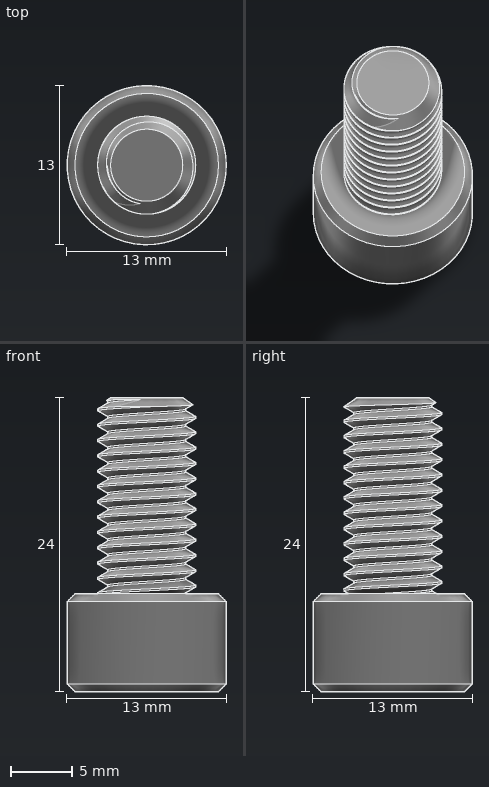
import cadquery as cq
import math

head_diameter = 13.0
head_height = 8.0
head_chamfer = 0.65

thread_diameter = 8.0
thread_pitch = 1.25
shank_length = 16.0

tip_diameter = 5.88
tip_chamfer_height = 0.75

flank_half_angle = math.radians(30)
crest_width = thread_pitch / 8
root_width = thread_pitch / 8
flank_height = (thread_pitch - crest_width - root_width) / 2
thread_depth = flank_height / math.tan(flank_half_angle)

thread_radius = thread_diameter / 2
root_radius = thread_radius - thread_depth
tip_radius = tip_diameter / 2
total_height = head_height + shank_length

cutter_radial_overrun = 0.05
groove_overrun = 2 * thread_pitch
rod_overrun = groove_overrun + thread_pitch


def make_head():
    """Solid cylinder with both rims chamfered."""
    head = cq.Workplane("XY").circle(head_diameter / 2).extrude(head_height)
    return head.edges("%CIRCLE").chamfer(head_chamfer)


def make_thread_groove():
    """Right-handed helical groove, centred on the head face at the +X side."""
    start_height = head_height - groove_overrun
    helix_height = shank_length + 2 * groove_overrun
    helix = cq.Wire.makeHelix(thread_pitch, helix_height, root_radius, center=cq.Vector(0, 0, start_height))

    outer_radius = thread_radius + cutter_radial_overrun
    root_half_width = root_width / 2
    outer_half_width = root_half_width + (outer_radius - root_radius) * math.tan(flank_half_angle)
    return (
        cq.Workplane("XZ")
        .moveTo(root_radius, start_height - root_half_width)
        .lineTo(outer_radius, start_height - outer_half_width)
        .lineTo(outer_radius, start_height + outer_half_width)
        .lineTo(root_radius, start_height + root_half_width)
        .close()
        .sweep(cq.Workplane(helix), isFrenet=True)
    )


def make_threaded_rod():
    """Rod with the full groove, longer than the shank at both ends."""
    rod_length = shank_length + 2 * rod_overrun
    rod = (
        cq.Workplane("XY")
        .workplane(offset=head_height - rod_overrun)
        .circle(thread_radius)
        .extrude(rod_length)
    )
    return rod.cut(make_thread_groove())


def make_shank_envelope():
    """Space between the head face and the tip, with the lead-in cone continued past the crests."""
    cone_slope = tip_chamfer_height / (thread_radius - tip_radius)
    envelope_radius = thread_diameter
    cone_start_height = total_height - (envelope_radius - tip_radius) * cone_slope
    return (
        cq.Workplane("XZ")
        .moveTo(0, head_height)
        .lineTo(envelope_radius, head_height)
        .lineTo(envelope_radius, cone_start_height)
        .lineTo(tip_radius, total_height)
        .lineTo(0, total_height)
        .close()
        .revolve(360, (0, 0, 0), (0, 1, 0))
    )


threaded_shank = make_threaded_rod().intersect(make_shank_envelope())
result = make_head().union(threaded_shank)